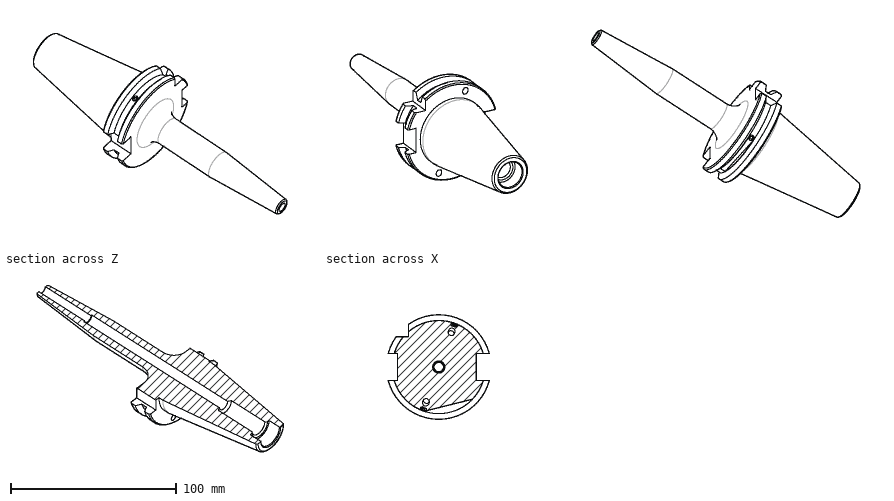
import cadquery as cq
import math

TOTAL_LENGTH = 188.4
GAUGE_X = 68.4
GAUGE_RADIUS = 22.2
TAPER_SLOPE = 7 / 48
REAR_RADIUS = GAUGE_RADIUS - GAUGE_X * TAPER_SLOPE
REAR_CHAMFER = 1.0

FLANGE_X = 71.5
FLANGE_WIDTH = 15.8
FLANGE_END = FLANGE_X + FLANGE_WIDTH
FLANGE_DIAMETER = 63.5
FLANGE_RADIUS = FLANGE_DIAMETER / 2
FLANGE_CHAMFER = 0.8

GROOVE_X = 79.5
GROOVE_FLOOR_RADIUS = 28.3
GROOVE_FLOOR_WIDTH = 3.8
GROOVE_WALL_TILT = 30.0
GROOVE_MOUTH_WIDTH = GROOVE_FLOOR_WIDTH + 2 * (
    FLANGE_RADIUS - GROOVE_FLOOR_RADIUS
) * math.tan(math.radians(GROOVE_WALL_TILT))

FLAT_WIDTH = 3.4
FLAT_DISTANCE = 24.0
FLAT_ANGLE = 256.0

SHANK_RADIUS = 9.0
SHANK_FILLET = 10.0
SHANK_START = 97.2
NOSE_LENGTH = 50.9
NOSE_X = TOTAL_LENGTH - NOSE_LENGTH
NOSE_TIP_RADIUS = 5.3
NOSE_CHAMFER = 0.8

ENTRY_BORE_RADIUS = 8.3
ENTRY_BORE_DEPTH = 9.0
ENTRY_CHAMFER = 0.5
THREAD_BORE_RADIUS = 5.7
THREAD_CHAMFER = 1.1
THREAD_BORE_END = 37.7
DRILL_POINT_ANGLE = 118.0
COOLANT_BORE_RADIUS = 3.5
DRILL_POINT_LENGTH = (THREAD_BORE_RADIUS - COOLANT_BORE_RADIUS) / math.tan(
    math.radians(DRILL_POINT_ANGLE / 2)
)
TOOL_BORE_RADIUS = 2.8
TOOL_BORE_X = 150.7

SLOT_WIDTH = 16.2
SLOT_FLOOR_PLUS_Y = 25.0
SLOT_FLOOR_MINUS_Y = 22.8
NOTCH_Y = 18.5
NOTCH_Z = 18.5

PORT_ANGLES = (110.0, 290.0)
PORT_RADIUS = 1.9
PORT_DISTANCE = 27.0
PORT_TILT = 28.0
PORT_LENGTH = 11.3
SCREW_RADIUS = 1.7
SCREW_TOP = 27.9
SCREW_LENGTH = 1.5
SOCKET_WIDTH = 1.7
SOCKET_DEPTH = 1.0


def revolve_around_x(outline):
    """Turn a closed (x, radius) outline around the X axis."""
    return outline.close().revolve(360, (0, 0, 0), (1, 0, 0))


def outer_shape():
    arc_start_height = SHANK_FILLET - math.sqrt(SHANK_FILLET**2 - (SHANK_START - FLANGE_END) ** 2)
    half_span = math.asin((SHANK_START - FLANGE_END) / SHANK_FILLET) / 2
    arc_middle = (
        SHANK_START - SHANK_FILLET * math.sin(half_span),
        SHANK_RADIUS + SHANK_FILLET * (1 - math.cos(half_span)),
    )
    outline = (
        cq.Workplane("XY")
        .moveTo(0, 0)
        .lineTo(0, REAR_RADIUS - REAR_CHAMFER)
        .lineTo(REAR_CHAMFER, REAR_RADIUS + REAR_CHAMFER * TAPER_SLOPE)
        .lineTo(GAUGE_X, GAUGE_RADIUS)
        .lineTo(FLANGE_X, GAUGE_RADIUS)
        .lineTo(FLANGE_X, FLANGE_RADIUS - FLANGE_CHAMFER)
        .lineTo(FLANGE_X + FLANGE_CHAMFER, FLANGE_RADIUS)
        .lineTo(GROOVE_X - GROOVE_MOUTH_WIDTH / 2, FLANGE_RADIUS)
        .lineTo(GROOVE_X - GROOVE_FLOOR_WIDTH / 2, GROOVE_FLOOR_RADIUS)
        .lineTo(GROOVE_X + GROOVE_FLOOR_WIDTH / 2, GROOVE_FLOOR_RADIUS)
        .lineTo(GROOVE_X + GROOVE_MOUTH_WIDTH / 2, FLANGE_RADIUS)
        .lineTo(FLANGE_END - FLANGE_CHAMFER, FLANGE_RADIUS)
        .lineTo(FLANGE_END, FLANGE_RADIUS - FLANGE_CHAMFER)
        .lineTo(FLANGE_END, SHANK_RADIUS + arc_start_height)
        .threePointArc(arc_middle, (SHANK_START, SHANK_RADIUS))
        .lineTo(NOSE_X, SHANK_RADIUS)
        .lineTo(TOTAL_LENGTH - NOSE_CHAMFER, NOSE_TIP_RADIUS)
        .lineTo(TOTAL_LENGTH, NOSE_TIP_RADIUS - NOSE_CHAMFER)
        .lineTo(TOTAL_LENGTH, 0)
    )
    return revolve_around_x(outline)


def stepped_bore():
    outline = (
        cq.Workplane("XY")
        .moveTo(0, 0)
        .lineTo(0, ENTRY_BORE_RADIUS + ENTRY_CHAMFER)
        .lineTo(ENTRY_CHAMFER, ENTRY_BORE_RADIUS)
        .lineTo(ENTRY_BORE_DEPTH, ENTRY_BORE_RADIUS)
        .lineTo(ENTRY_BORE_DEPTH, THREAD_BORE_RADIUS + THREAD_CHAMFER)
        .lineTo(ENTRY_BORE_DEPTH + THREAD_CHAMFER, THREAD_BORE_RADIUS)
        .lineTo(THREAD_BORE_END, THREAD_BORE_RADIUS)
        .lineTo(THREAD_BORE_END + DRILL_POINT_LENGTH, COOLANT_BORE_RADIUS)
        .lineTo(TOOL_BORE_X, COOLANT_BORE_RADIUS)
        .lineTo(TOOL_BORE_X, TOOL_BORE_RADIUS)
        .lineTo(TOTAL_LENGTH, TOOL_BORE_RADIUS)
        .lineTo(TOTAL_LENGTH, 0)
    )
    return revolve_around_x(outline)


def flange_cutter(y_size, z_size, y_start, z_start):
    """A block as wide as the flange, from its corner of least Y and Z."""
    return cq.Workplane("XY").box(FLANGE_WIDTH, y_size, z_size, centered=False).translate(
        (FLANGE_X, y_start, z_start)
    )


def driving_slots():
    depth = FLANGE_RADIUS
    plus_y = flange_cutter(depth, SLOT_WIDTH, SLOT_FLOOR_PLUS_Y, -SLOT_WIDTH / 2)
    minus_y = flange_cutter(depth, SLOT_WIDTH, -SLOT_FLOOR_MINUS_Y - depth, -SLOT_WIDTH / 2)
    return plus_y.union(minus_y)


def orientation_notch():
    return flange_cutter(FLANGE_RADIUS, FLANGE_RADIUS, NOTCH_Y, NOTCH_Z)


def at_angle(shape, angle):
    """Swing a shape built along +Y around the X axis, toward +Z."""
    return shape.rotate((0, 0, 0), (1, 0, 0), angle)


def groove_flat():
    depth = GROOVE_FLOOR_RADIUS - FLAT_DISTANCE
    block = (
        cq.Workplane("XY")
        .box(FLAT_WIDTH, depth, 2 * GROOVE_FLOOR_RADIUS, centered=(True, False, True))
        .translate((GROOVE_X, FLAT_DISTANCE, 0))
    )
    return at_angle(block, FLAT_ANGLE)


def coolant_port(angle):
    """Leaning hole that opens on the rear face of the flange."""
    tilt = math.radians(PORT_TILT)
    direction = cq.Vector(math.cos(tilt), -math.sin(tilt), 0)
    mouth = cq.Vector(FLANGE_X, PORT_DISTANCE, 0)
    drill = cq.Solid.makeCylinder(
        PORT_RADIUS, PORT_LENGTH + PORT_RADIUS, mouth - direction * PORT_RADIUS, direction
    )
    return at_angle(cq.Workplane(drill), angle)


def screw_hole(angle):
    hole = cq.Solid.makeCylinder(
        SCREW_RADIUS,
        GROOVE_FLOOR_RADIUS - SCREW_TOP + SCREW_LENGTH,
        cq.Vector(GROOVE_X, SCREW_TOP - SCREW_LENGTH, 0),
        cq.Vector(0, 1, 0),
    )
    return at_angle(cq.Workplane(hole), angle)


def make_holder():
    holder = outer_shape().cut(stepped_bore())
    holder = holder.cut(driving_slots()).cut(orientation_notch()).cut(groove_flat())
    for angle in PORT_ANGLES:
        holder = holder.cut(coolant_port(angle)).cut(screw_hole(angle))
    return holder


def make_set_screw(angle):
    """Headless screw with a hexagon socket in its outer end."""
    screw = (
        cq.Workplane("XZ")
        .circle(SCREW_RADIUS)
        .extrude(-SCREW_LENGTH)
        .faces(">Y")
        .workplane()
        .polygon(6, SOCKET_WIDTH, circumscribed=True)
        .cutBlind(-SOCKET_DEPTH)
        .translate((GROOVE_X, SCREW_TOP - SCREW_LENGTH, 0))
    )
    return at_angle(screw, angle)


holder = make_holder()
set_screws = [make_set_screw(angle) for angle in PORT_ANGLES]

result = cq.Compound.makeCompound([holder.val(), *[screw.val() for screw in set_screws]])